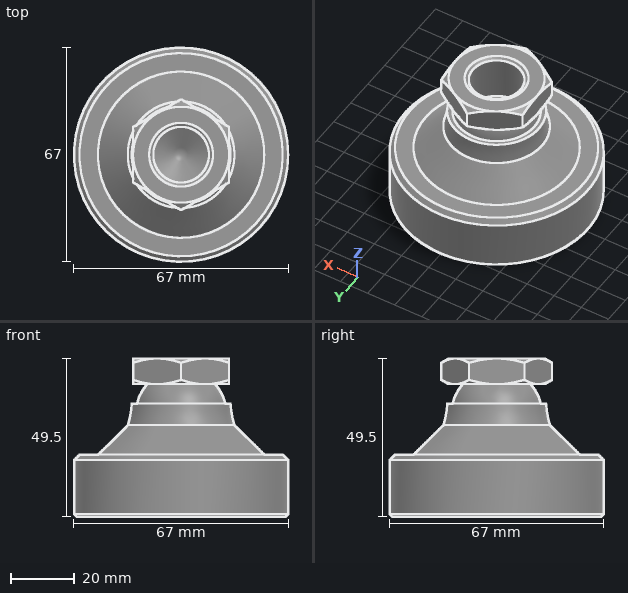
import cadquery as cq
import math

PAD_RADIUS = 33.5
PAD_HEIGHT = 19.5
PAD_TOP_CHAMFER = 1.75
PAD_BOTTOM_CHAMFER = 0.9

SKIRT_RADIUS = 26.0
COLLAR_BOTTOM_RADIUS = 16.7
COLLAR_TOP_RADIUS = 15.5
COLLAR_MID_RADIUS = 15.9
COLLAR_BOTTOM_Z = 28.7
COLLAR_TOP_Z = 35.45

BALL_RADIUS = 14.3
BALL_CENTER_Z = 32.0
HEX_ACROSS_FLATS = 30.0
HEX_BOTTOM_Z = 41.5
HEX_TOP_Z = 49.5
HEX_CHAMFER_ANGLE = 30.0

BORE_RADIUS = 8.7
BORE_MOUTH_RADIUS = 10.0
BORE_MOUTH_ANGLE = 30.0
BORE_DEPTH = 16.1
DRILL_POINT_ANGLE = 118.0

HEX_HALF_SECTOR = 180 / 6
HEX_CORNER_RADIUS = HEX_ACROSS_FLATS / 2 / math.cos(math.radians(HEX_HALF_SECTOR))


def make_ball():
    """Full ball, used for the stud and for the socket that holds it."""
    return cq.Workplane("XY").sphere(BALL_RADIUS).translate((0, 0, BALL_CENTER_Z))


def make_pad():
    """Round pad with chamfered rims and a shallow seat under the ball."""
    pad = cq.Workplane("XY").circle(PAD_RADIUS).extrude(PAD_HEIGHT)
    pad = pad.faces(">Z").chamfer(PAD_TOP_CHAMFER)
    pad = pad.faces("<Z").chamfer(PAD_BOTTOM_CHAMFER)
    return pad.cut(make_ball())


def make_housing():
    """Skirt and collar standing on the pad, hollowed to fit the ball."""
    collar_mid_z = (COLLAR_BOTTOM_Z + COLLAR_TOP_Z) / 2
    housing = (
        cq.Workplane("XZ")
        .moveTo(0, PAD_HEIGHT)
        .lineTo(SKIRT_RADIUS, PAD_HEIGHT)
        .lineTo(COLLAR_BOTTOM_RADIUS, COLLAR_BOTTOM_Z)
        .threePointArc((COLLAR_MID_RADIUS, collar_mid_z), (COLLAR_TOP_RADIUS, COLLAR_TOP_Z))
        .lineTo(0, COLLAR_TOP_Z)
        .close()
        .revolve(360, (0, 0), (0, 1))
    )
    return housing.cut(make_ball())


def make_hex_head():
    """Hexagon with corners on the Y axis, turned conically at both ends."""
    hexagon = (
        cq.Workplane("XY")
        .workplane(offset=HEX_BOTTOM_Z)
        .polygon(6, 2 * HEX_CORNER_RADIUS)
        .extrude(HEX_TOP_Z - HEX_BOTTOM_Z)
        .rotate((0, 0, 0), (0, 0, 1), HEX_HALF_SECTOR)
    )
    face_radius = HEX_ACROSS_FLATS / 2
    corner_drop = (HEX_CORNER_RADIUS - face_radius) * math.tan(math.radians(HEX_CHAMFER_ANGLE))
    turned_blank = (
        cq.Workplane("XZ")
        .moveTo(0, HEX_BOTTOM_Z)
        .lineTo(face_radius, HEX_BOTTOM_Z)
        .lineTo(HEX_CORNER_RADIUS, HEX_BOTTOM_Z + corner_drop)
        .lineTo(HEX_CORNER_RADIUS, HEX_TOP_Z - corner_drop)
        .lineTo(face_radius, HEX_TOP_Z)
        .lineTo(0, HEX_TOP_Z)
        .close()
        .revolve(360, (0, 0), (0, 1))
    )
    return hexagon.intersect(turned_blank)


def make_bore():
    """Cutter for the bore: shallow mouth chamfer, straight wall, drill point."""
    shoulder_z = HEX_TOP_Z - BORE_DEPTH
    tip_z = shoulder_z - BORE_RADIUS / math.tan(math.radians(DRILL_POINT_ANGLE / 2))
    mouth_chamfer = (BORE_MOUTH_RADIUS - BORE_RADIUS) * math.tan(math.radians(BORE_MOUTH_ANGLE))
    return (
        cq.Workplane("XZ")
        .moveTo(0, tip_z)
        .lineTo(BORE_RADIUS, shoulder_z)
        .lineTo(BORE_RADIUS, HEX_TOP_Z - mouth_chamfer)
        .lineTo(BORE_MOUTH_RADIUS, HEX_TOP_Z)
        .lineTo(0, HEX_TOP_Z)
        .close()
        .revolve(360, (0, 0), (0, 1))
    )


def make_ball_stud():
    """Ball and hexagon head as one solid, bored from the top."""
    return make_ball().union(make_hex_head()).cut(make_bore())


pad = make_pad()
housing = make_housing()
ball_stud = make_ball_stud()

bodies = [pad, housing, ball_stud]
result = cq.Compound.makeCompound([body.solids().val() for body in bodies])